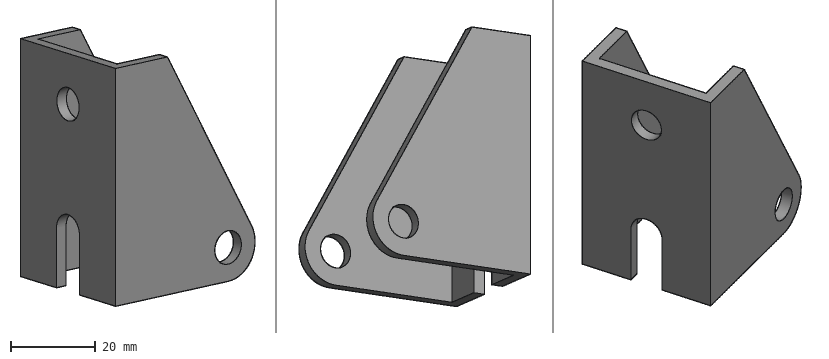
import cadquery as cq
import math

width = 35.05
depth = 43.2
height = 58.4
wall = 3.0

top_depth = 16.05
ear_radius = 8.35
pivot_y = depth - ear_radius
pivot_z = ear_radius
hole_diameter = 8.2

front_hole_z = 46.0
slot_width = 8.5
slot_top_z = 18.85
slot_center_z = slot_top_z - slot_width / 2


def pivot_arc_point(angle):
    """Point on the rounded ear end, angle in radians from +Y toward +Z."""
    return (pivot_y + ear_radius * math.cos(angle), pivot_z + ear_radius * math.sin(angle))


def side_body():
    """Side outline across the full width; the slanted edge is tangent to the pivot round."""
    run = top_depth - pivot_y
    rise = height - pivot_z
    corner_angle = math.atan2(rise, run)
    tangent_angle = corner_angle - math.acos(ear_radius / math.hypot(run, rise))
    bottom_angle = -math.pi / 2
    middle_angle = (tangent_angle + bottom_angle) / 2
    return (
        cq.Workplane("YZ")
        .moveTo(0, 0)
        .lineTo(pivot_y, 0)
        .threePointArc(pivot_arc_point(middle_angle), pivot_arc_point(tangent_angle))
        .lineTo(top_depth, height)
        .lineTo(0, height)
        .close()
        .extrude(width / 2, both=True)
    )


def channel():
    """Open space between the two ears, behind the front plate."""
    return cq.Workplane("XY").box(
        width - 2 * wall, depth, height, centered=(True, False, False)
    ).translate((0, wall, 0))


def pivot_holes():
    """Coaxial holes through both ears."""
    return (
        cq.Workplane("YZ")
        .center(pivot_y, pivot_z)
        .circle(hole_diameter / 2)
        .extrude(width, both=True)
    )


def front_hole():
    """Round hole through the front plate."""
    return (
        cq.Workplane("XZ")
        .center(0, front_hole_z)
        .circle(hole_diameter / 2)
        .extrude(-wall)
    )


def front_slot():
    """Round-topped slot open at the bottom edge of the front plate."""
    half = slot_width / 2
    return (
        cq.Workplane("XZ")
        .moveTo(-half, 0)
        .lineTo(-half, slot_center_z)
        .threePointArc((0, slot_top_z), (half, slot_center_z))
        .lineTo(half, 0)
        .close()
        .extrude(-wall)
    )


result = side_body().cut(channel()).cut(pivot_holes()).cut(front_hole()).cut(front_slot())